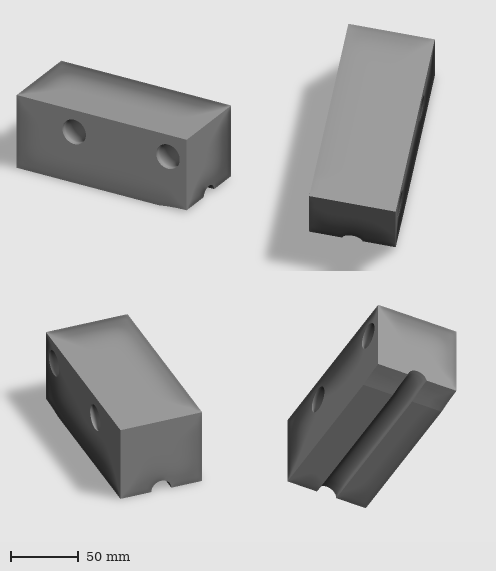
import cadquery as cq
import math

length = 145.0
width = 65.0
height = 60.0

hole_diameter = 20.0
first_hole_x = 49.0
hole_spacing = 80.0
hole_depth_from_top = 18.0

groove_diameter = 16.0

relief_height = 1.9
relief_radius = 150.0


def relief_offset(rise):
    """Distance back from the +X end at which the relief arc lies `rise` below its crest."""
    return math.sqrt(rise * (2 * relief_radius - rise))


def make_block():
    relief_start = (length - relief_offset(relief_height), 0)
    relief_middle_drop = relief_height / 4
    relief_middle = (length - relief_offset(relief_middle_drop), relief_height - relief_middle_drop)
    return (
        cq.Workplane("XZ")
        .lineTo(*relief_start)
        .threePointArc(relief_middle, (length, relief_height))
        .lineTo(length, height)
        .lineTo(0, height)
        .close()
        .extrude(-width)
    )


def make_cross_holes():
    hole_z = height - hole_depth_from_top
    centers = [(first_hole_x, hole_z), (first_hole_x + hole_spacing, hole_z)]
    return cq.Workplane("XZ").pushPoints(centers).circle(hole_diameter / 2).extrude(-width)


def make_groove():
    return cq.Workplane("YZ").center(width / 2, 0).circle(groove_diameter / 2).extrude(length)


result = make_block().cut(make_cross_holes()).cut(make_groove())